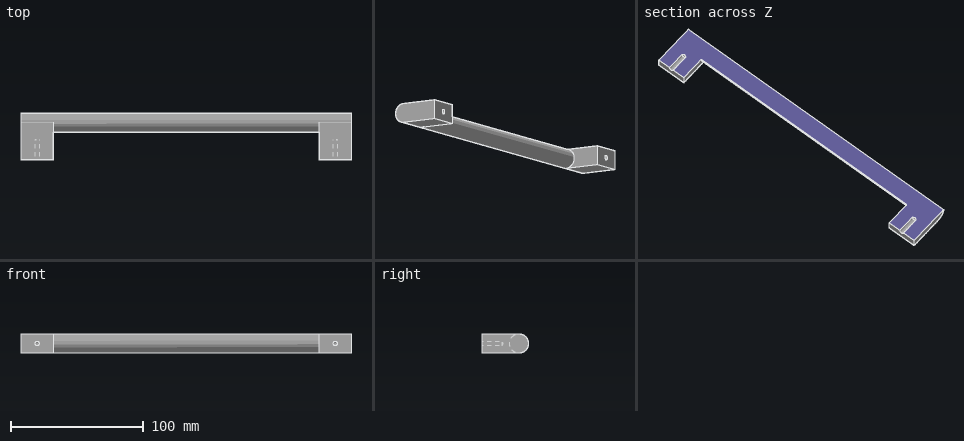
import cadquery as cq
import math

length = 249.0
depth = 35.25
thickness = 14.5
leg_width = 24.5
screw_hole_diameter = 3.3
screw_hole_depth = 15.0
drill_tip_angle = 118.0

radius = thickness / 2
mounting_face_y = radius - depth
leg_center_x = (length - leg_width) / 2


def round_bar(bar_length):
    """Cylinder along X, centred on the origin."""
    return cq.Workplane("YZ").circle(radius).extrude(bar_length / 2, both=True)


def leg(center_x):
    """Leg with a flat mounting face and a half-round back matching the bar."""
    return (
        cq.Workplane("YZ", origin=(center_x, 0, 0))
        .moveTo(mounting_face_y, -radius)
        .lineTo(0, -radius)
        .threePointArc((radius, 0), (0, radius))
        .lineTo(mounting_face_y, radius)
        .close()
        .extrude(leg_width / 2, both=True)
    )


def screw_hole(center_x):
    """Blind hole with a conical drill tip, entering from the mounting face."""
    hole_radius = screw_hole_diameter / 2
    tip_length = hole_radius / math.tan(math.radians(drill_tip_angle / 2))
    return (
        cq.Workplane("XY", origin=(center_x, mounting_face_y, 0))
        .lineTo(hole_radius, 0)
        .lineTo(hole_radius, screw_hole_depth)
        .lineTo(0, screw_hole_depth + tip_length)
        .close()
        .revolve(360, (0, 0, 0), (0, 1, 0))
    )


result = round_bar(length)
for x in (-leg_center_x, leg_center_x):
    result = result.union(leg(x))
for x in (-leg_center_x, leg_center_x):
    result = result.cut(screw_hole(x))